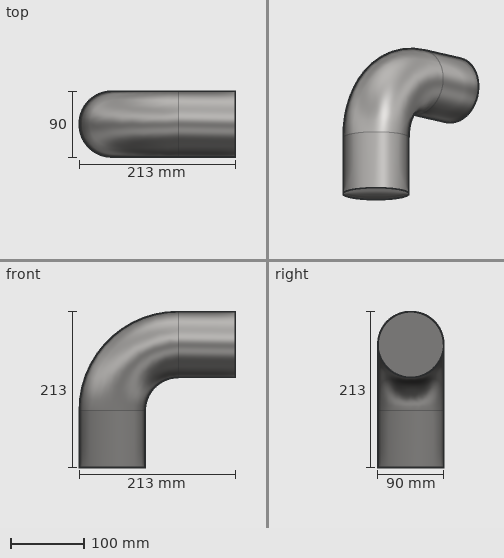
import cadquery as cq

outer_diameter = 90.0
bend_radius = 90.0
leg_length = 78.0
bend_angle = 90.0

outer_radius = outer_diameter / 2


def lower_leg():
    """Vertical straight leg, standing on Z = 0 and centred on the Z axis."""
    return cq.Workplane("XY").circle(outer_radius).extrude(leg_length)


def bend():
    """Quarter torus that turns the vertical leg towards +X."""
    return (
        cq.Workplane("XY")
        .workplane(offset=leg_length)
        .circle(outer_radius)
        .revolve(bend_angle, (bend_radius, 0, 0), (bend_radius, 1, 0))
    )


def upper_leg():
    """Horizontal straight leg, running along +X from the end of the bend."""
    return (
        cq.Workplane("YZ", origin=(bend_radius, 0, leg_length + bend_radius))
        .circle(outer_radius)
        .extrude(leg_length)
    )


result = lower_leg().union(bend()).union(upper_leg())